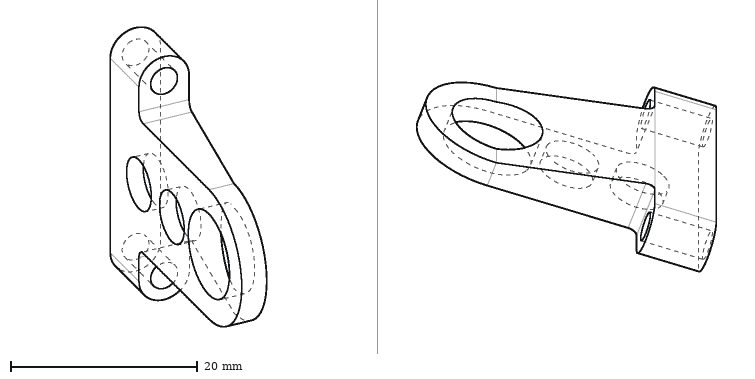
import cadquery as cq

length = 32.0
bar_thickness = 6.0
bar_height = 30.0
bar_width = 7.0

eye_radius = 8.0
eye_hole_diameter = 10.0
eye_thickness = bar_thickness / 2
eye_x = length - eye_radius

pin_hole_diameter = 3.2
corner_radius = 1.0
pocket_diameter = 6.0
pocket_depth = 2.0
pocket_spacing = 8.0
pocket_positions = [(bar_width, 0), (bar_width + pocket_spacing, 0)]

front_y = -bar_thickness / 2
back_y = bar_thickness / 2
end_center_z = (bar_height - bar_thickness) / 2


def front_plane():
    """Sketch plane on the flat front face, with its normal pointing out along -Y."""
    return cq.Workplane("XZ", origin=(0, front_y, 0))


def make_bar():
    """Upright bar with fully rounded ends, running along X."""
    return cq.Workplane("YZ").slot2D(bar_height, bar_thickness, 90).extrude(bar_width)


def make_arm():
    """Round-ended arm whose back face slopes from the bar down to the eye."""
    outline = (
        front_plane()
        .moveTo(0, -eye_radius)
        .lineTo(eye_x, -eye_radius)
        .threePointArc((length, 0), (eye_x, eye_radius))
        .lineTo(0, eye_radius)
        .close()
        .extrude(-bar_thickness)
    )
    eye_back_y = front_y + eye_thickness
    side_profile = (
        cq.Workplane("XY", origin=(0, 0, -eye_radius))
        .polyline([
            (0, front_y),
            (length, front_y),
            (length, eye_back_y),
            (eye_x, eye_back_y),
            (bar_width, back_y),
            (0, back_y),
        ])
        .close()
        .extrude(2 * eye_radius)
    )
    return outline.intersect(side_profile)


def make_corner_fillet(side):
    """Filler with a concave round between bar and arm; side is +1 above the arm, -1 below."""
    arm_edge_z = side * eye_radius
    center_x = bar_width + corner_radius
    center_z = side * (eye_radius + corner_radius)
    slope = (bar_thickness - eye_thickness) / (eye_x - bar_width)
    square = (
        cq.Workplane("XY", origin=(0, 0, arm_edge_z))
        .polyline([
            (bar_width, front_y),
            (center_x, front_y),
            (center_x, back_y - slope * corner_radius),
            (bar_width, back_y),
        ])
        .close()
        .extrude(side * corner_radius)
    )
    round_cut = (
        front_plane()
        .center(center_x, center_z)
        .circle(corner_radius)
        .extrude(-bar_thickness)
    )
    return square.cut(round_cut)


body = make_bar().union(make_arm())
for side in (1, -1):
    body = body.union(make_corner_fillet(side))

eye_hole = (
    front_plane()
    .center(eye_x, 0)
    .circle(eye_hole_diameter / 2)
    .extrude(-bar_thickness)
)

pockets = (
    front_plane()
    .pushPoints(pocket_positions)
    .circle(pocket_diameter / 2)
    .extrude(-pocket_depth)
)

pin_holes = (
    cq.Workplane("YZ")
    .pushPoints([(0, end_center_z), (0, -end_center_z)])
    .circle(pin_hole_diameter / 2)
    .extrude(bar_width)
)

result = body.cut(eye_hole).cut(pockets).cut(pin_holes)